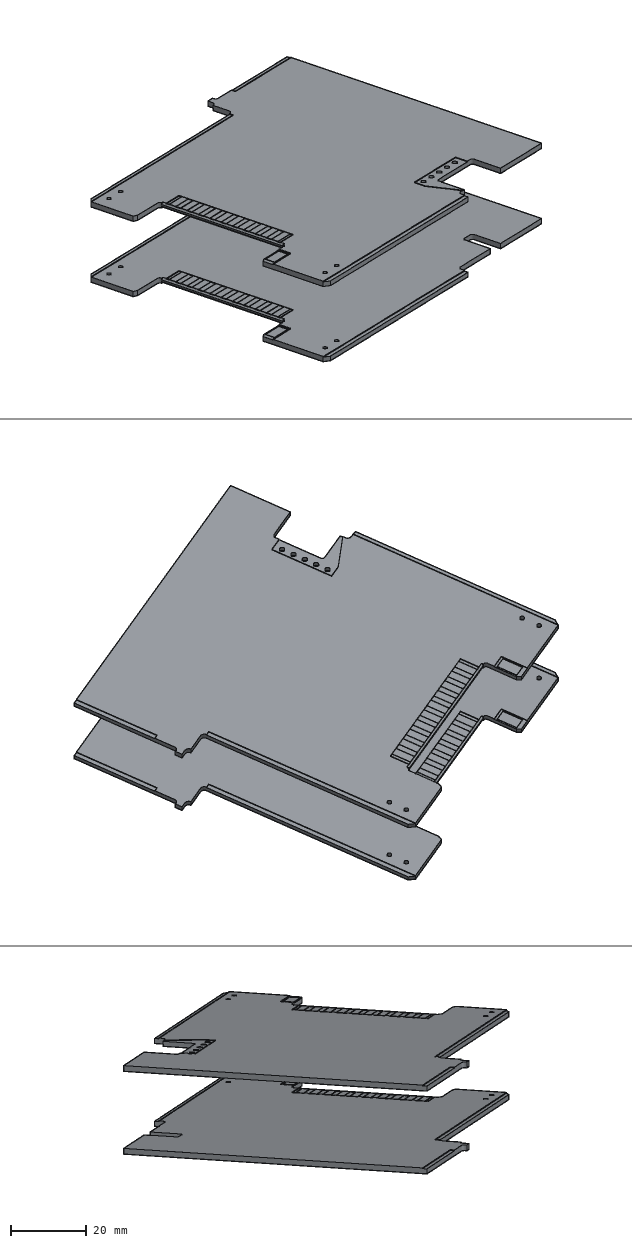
import cadquery as cq


width = 88.8
length = 99.3
thickness = 1.6
total_height = 24.1
board_pitch = total_height - thickness

leg_left = 9.0
corner_cut_x = 1.2
corner_cut_y = 1.6
leg_tip_cut_x = 0.6
leg_tip_cut_y = 1.2
bay_left = 24.9
bay_right = 66.9
bay_back = 10.8
bay_radius = 0.8
bevel_size = 0.55
right_shoulder_y = 62.8
right_neck_x = 85.5
shoulder_radius = 1.2
rear_right_x = 85.9
rear_left_x = 1.2
nub_front_y = 65.6
nub_rear_y = 67.7
nub_radius = 0.8
left_shoulder_y = nub_front_y - shoulder_radius
nub_fillet_end_x = 2.7

notch_left = 76.4
notch_rear = 81.0
slot_front = 77.1
opening_front = 65.5
notch_radius = 0.8

mask_depth = 0.2
pad_height = 0.1
edge_band = 1.2
rear_band_front = 74.7

pad_count = 10
pad_width = 2.2
pad_pitch = 3.8
pad_length = 5.7
pad_window_margin = 0.9
pad_window_left = 26.8

contact_window_width = 3.9
contact_window_length = 7.9
contact_margin = 0.4
contact_front = 1.3
contact_length = 6.0

mount_hole_diameter = 1.2
mount_hole_xs = (13.0, 84.9)
mount_hole_ys = (4.4, 9.5)
pin_hole_diameter = 1.4
pin_hole_count = 5
pin_hole_pitch = 3.5
pin_hole_x = 73.9
pin_hole_front_y = 62.9

pin_window_left = 72.4
pin_window_front = 60.8
pin_window_rear = 79.0
pin_window_bend_x = 76.0
pin_window_tip_y = 64.7


def block(x0, x1, y0, y1, z0, z1):
    """Box given by its limits along each axis."""
    return cq.Workplane("XY").box(x1 - x0, y1 - y0, z1 - z0, centered=False).translate((x0, y0, z0))


def plate():
    """Board blank without the right-hand notch."""
    blank = (
        cq.Workplane("XY")
        .moveTo(leg_left + corner_cut_x, 0)
        .lineTo(bay_left - leg_tip_cut_x, 0)
        .lineTo(bay_left, leg_tip_cut_y)
        .lineTo(bay_left, bay_back - bay_radius)
        .radiusArc((bay_left + bay_radius, bay_back), bay_radius)
        .lineTo(bay_right - bay_radius, bay_back)
        .radiusArc((bay_right, bay_back - bay_radius), bay_radius)
        .lineTo(bay_right, leg_tip_cut_y)
        .lineTo(bay_right + leg_tip_cut_x, 0)
        .lineTo(width - corner_cut_x, 0)
        .lineTo(width, corner_cut_y)
        .lineTo(width, right_shoulder_y)
        .lineTo(right_neck_x + shoulder_radius, right_shoulder_y)
        .radiusArc((right_neck_x, right_shoulder_y + shoulder_radius), shoulder_radius)
        .lineTo(right_neck_x, notch_rear)
        .lineTo(rear_right_x, notch_rear)
        .lineTo(rear_right_x, length)
        .lineTo(rear_left_x, length)
        .lineTo(rear_left_x, nub_rear_y + nub_radius)
        .radiusArc((rear_left_x - nub_radius, nub_rear_y), nub_radius)
        .lineTo(0, nub_rear_y)
        .lineTo(0, nub_front_y)
        .lineTo(nub_fillet_end_x - shoulder_radius, nub_front_y)
        .radiusArc((nub_fillet_end_x, left_shoulder_y), shoulder_radius)
        .lineTo(leg_left - shoulder_radius, left_shoulder_y)
        .radiusArc((leg_left, left_shoulder_y - shoulder_radius), shoulder_radius)
        .lineTo(leg_left, corner_cut_y)
        .close()
    )
    return blank.extrude(thickness)


def notch(front):
    """Cutter for the right-hand notch, rounded at its two inner corners."""
    cutter = block(notch_left, width, front, notch_rear, 0, thickness)
    return cutter.edges("|Z and <X").fillet(notch_radius)


def sunk(x0, x1, y0, y1):
    """Cutter for a rectangular window in the upper face."""
    return block(x0, x1, y0, y1, thickness - mask_depth, thickness)


def raised(x0, x1, y0, y1):
    """Pad standing on the floor of a window."""
    floor = thickness - mask_depth
    return block(x0, x1, y0, y1, floor, floor + pad_height)


def add_edge_bands(board):
    """Bare bands along the side edges of the board."""
    board = board.cut(sunk(leg_left, leg_left + edge_band, 0, left_shoulder_y - shoulder_radius))
    board = board.cut(sunk(width - edge_band, width, 0, right_shoulder_y))
    return board.cut(sunk(rear_left_x, rear_left_x + edge_band, rear_band_front, length))


def add_contact_row(board):
    """Row of contact pads in one window behind the front bay."""
    front = bay_back + bevel_size
    rear = front + pad_length
    row_width = (pad_count - 1) * pad_pitch + pad_width
    window_right = pad_window_left + row_width + 2 * pad_window_margin
    board = board.cut(sunk(pad_window_left, window_right, front, rear))
    for i in range(pad_count):
        pad_left = pad_window_left + pad_window_margin + i * pad_pitch
        board = board.union(raised(pad_left, pad_left + pad_width, front, rear))
    return board


def add_leg_contact(board):
    """Single contact pad at the inner edge of the right-hand leg."""
    window_right = bay_right + contact_window_width
    board = board.cut(sunk(bay_right, window_right, 0, contact_window_length))
    pad = raised(
        bay_right + contact_margin,
        window_right - contact_margin,
        contact_front,
        contact_front + contact_length,
    )
    return board.union(pad)


def bevel_bay(board):
    """Bevels on the upper and lower edges at the back of the front bay."""
    left = bay_left + bay_radius
    run = bay_right - bay_radius - left
    for face_z, inward in ((0, 1), (thickness, -1)):
        wedge = (
            cq.Workplane("YZ", origin=(left, 0, 0))
            .moveTo(bay_back, face_z)
            .lineTo(bay_back + bevel_size, face_z)
            .lineTo(bay_back, face_z + inward * bevel_size)
            .close()
            .extrude(run)
        )
        board = board.cut(wedge)
    return board


def drill(board, points, diameter):
    """Through holes at the given points."""
    return board.cut(cq.Workplane("XY").pushPoints(points).circle(diameter / 2).extrude(thickness))


def circuit_board(notch_front):
    """Features that both boards share, with the notch reaching forward to the given Y."""
    board = plate().cut(notch(notch_front))
    board = add_edge_bands(board)
    board = bevel_bay(board)
    board = add_contact_row(board)
    board = add_leg_contact(board)
    mount_points = [(x, y) for x in mount_hole_xs for y in mount_hole_ys]
    return drill(board, mount_points, mount_hole_diameter)


def add_pin_header(board):
    """Window beside the notch with its row of pin holes."""
    window = (
        cq.Workplane("XY", origin=(0, 0, thickness - mask_depth))
        .moveTo(pin_window_left, pin_window_front)
        .lineTo(pin_window_bend_x, pin_window_front)
        .lineTo(right_neck_x, pin_window_tip_y)
        .lineTo(right_neck_x, pin_window_rear)
        .lineTo(pin_window_left, pin_window_rear)
        .close()
        .extrude(mask_depth)
    )
    pin_points = [(pin_hole_x, pin_hole_front_y + i * pin_hole_pitch) for i in range(pin_hole_count)]
    return drill(board.cut(window), pin_points, pin_hole_diameter)


lower_board = circuit_board(slot_front)
upper_board = add_pin_header(circuit_board(opening_front)).translate((0, 0, board_pitch))

result = cq.Compound.makeCompound([lower_board.val(), upper_board.val()])